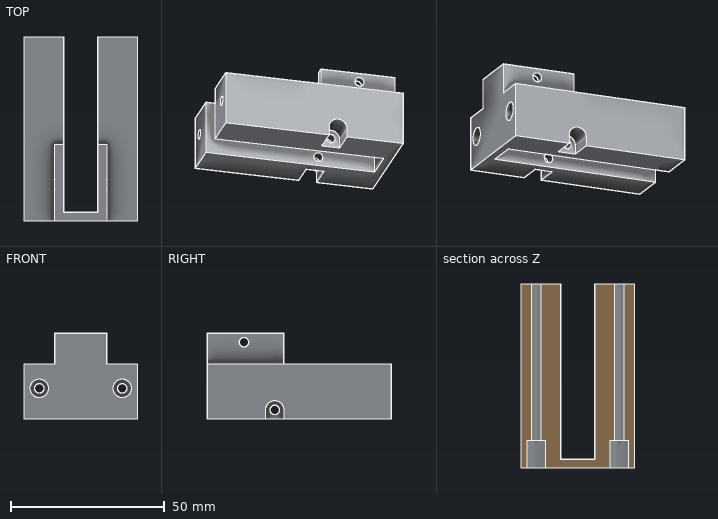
import cadquery as cq

length = 60
width = 37.0
base_height = 18
total_height = 28.0

clevis_width = 17.0
clevis_length = 25.0

slot_width = 11.0
front_wall = 3

hole_diameter = 3
recess_diameter = 6
long_hole_spacing = 27
long_hole_height = 10.0
counterbore_depth = 9
cross_hole_y = 22.0
cross_hole_height = recess_diameter / 2
side_recess_depth = 9
pin_hole_y = 12
pin_hole_depth = 3
pin_hole_height = total_height - pin_hole_depth


def block(size_x, y_start, y_end, height):
    """Block centred on X and standing on Z = 0."""
    size_y = y_end - y_start
    return (
        cq.Workplane("XY")
        .box(size_x, size_y, height, centered=(True, False, False))
        .translate((0, y_start, 0))
    )


def rod_along_y(x, z, diameter, depth):
    """Cylinder running back from the front face."""
    return cq.Workplane("XZ").center(x, z).circle(diameter / 2).extrude(-depth)


def rod_along_x(y, z, diameter, x_start, depth):
    """Cylinder running toward +X from x_start."""
    return (
        cq.Workplane("YZ", origin=(x_start, 0, 0))
        .center(y, z)
        .circle(diameter / 2)
        .extrude(depth)
    )


def side_recess(x_start):
    """Round-topped screw head recess, open at the underside."""
    head = rod_along_x(cross_hole_y, cross_hole_height, recess_diameter, x_start, side_recess_depth)
    opening = cq.Workplane("XY").box(
        side_recess_depth, recess_diameter, cross_hole_height, centered=(False, True, False)
    )
    return head.union(opening.translate((x_start, cross_hole_y, 0)))


result = block(width, 0, length, base_height)
result = result.union(block(clevis_width, 0, clevis_length, total_height))
result = result.cut(block(slot_width, front_wall, length, total_height))

for x in (-long_hole_spacing / 2, long_hole_spacing / 2):
    result = result.cut(rod_along_y(x, long_hole_height, hole_diameter, length))
    result = result.cut(rod_along_y(x, long_hole_height, recess_diameter, counterbore_depth))

for y, z in ((cross_hole_y, cross_hole_height), (pin_hole_y, pin_hole_height)):
    result = result.cut(rod_along_x(y, z, hole_diameter, -width / 2, width))

for x_start in (-width / 2, width / 2 - side_recess_depth):
    result = result.cut(side_recess(x_start))